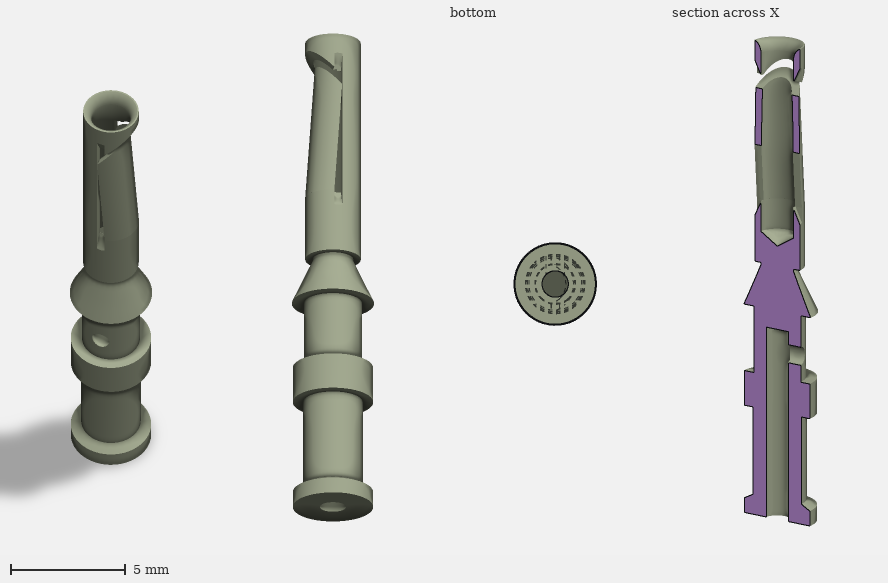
import cadquery as cq
import math

total_height = 21.65
flange_edge_z = 0.7
flange_top_z = 0.93
collar_bottom_z = 4.9
collar_top_z = 6.5
barb_bottom_z = 9.5
barb_top_z = 11.45
sleeve_bottom_z = 11.56

flange_diameter = 3.5
collar_diameter = 3.5
barrel_diameter = 2.6
upper_barrel_diameter = 2.53
barb_diameter = 3.6
neck_diameter = 1.78
sleeve_diameter = 2.42

socket_diameter = 1.7
socket_bottom_z = 13.0
drill_point_angle = 118.0
mouth_diameter = 2.3
mouth_depth = 0.52

wire_bore_diameter = 1.15
wire_bore_depth = 8.65
inspection_diameter = 0.8
inspection_z = 7.66

slot_half = 0.18
slot_bottom_z = 13.66
slot_top_z = 20.76
slot_end_ramp = 0.71

tongue_root_z = slot_bottom_z + slot_end_ramp
tongue_bend = 4.0
gap_angle = 45.0
gap_edge_z = 21.13
tongue_tip_z = 20.42

sleeve_radius = sleeve_diameter / 2
socket_radius = socket_diameter / 2
cutter_overrun = 0.22


def slope(angle):
    """Rise per unit run of a line at this angle in degrees."""
    return math.tan(math.radians(angle))


def make_body():
    """Turned outside of the contact, from the flange up to the sleeve."""
    barrel_radius = barrel_diameter / 2
    profile = [
        (0, 0),
        (flange_diameter / 2, 0),
        (flange_diameter / 2, flange_edge_z),
        (barrel_radius, flange_top_z),
        (barrel_radius, collar_bottom_z),
        (collar_diameter / 2, collar_bottom_z),
        (collar_diameter / 2, collar_top_z),
        (upper_barrel_diameter / 2, collar_top_z),
        (upper_barrel_diameter / 2, barb_bottom_z),
        (barb_diameter / 2, barb_bottom_z),
        (neck_diameter / 2, barb_top_z),
        (neck_diameter / 2, sleeve_bottom_z),
        (sleeve_radius, sleeve_bottom_z),
        (sleeve_radius, total_height),
        (0, total_height),
    ]
    return cq.Workplane("XZ").polyline(profile).close().revolve(360, (0, 0), (0, 1))


def make_socket():
    """Cutter for the socket bore: drill point, straight wall and rounded mouth."""
    point_depth = socket_radius / slope(drill_point_angle / 2)
    flare = mouth_diameter / 2 - socket_radius
    mouth_radius = (mouth_depth**2 + flare**2) / (2 * flare)
    return (
        cq.Workplane("XZ")
        .moveTo(0, socket_bottom_z - point_depth)
        .lineTo(socket_radius, socket_bottom_z)
        .lineTo(socket_radius, total_height - mouth_depth)
        .radiusArc((mouth_diameter / 2, total_height), mouth_radius)
        .lineTo(0, total_height)
        .close()
        .revolve(360, (0, 0), (0, 1))
    )


def make_slots():
    """Cutter for both slots; its ends run inwards as ramps through the walls."""
    ramp_slope = slot_end_ramp / (sleeve_radius - socket_radius)
    outer_y = sleeve_radius + cutter_overrun
    bottom_outer_z = slot_bottom_z - cutter_overrun * ramp_slope
    top_outer_z = slot_top_z + cutter_overrun * ramp_slope
    bottom_inner_z = slot_bottom_z + slot_end_ramp
    top_inner_z = slot_top_z - slot_end_ramp
    outline = [
        (-outer_y, bottom_outer_z),
        (-socket_radius, bottom_inner_z),
        (socket_radius, bottom_inner_z),
        (outer_y, bottom_outer_z),
        (outer_y, top_outer_z),
        (socket_radius, top_inner_z),
        (-socket_radius, top_inner_z),
        (-outer_y, top_outer_z),
    ]
    return cq.Workplane("YZ").polyline(outline).close().extrude(slot_half, both=True)


def make_window():
    """Cutter for the +X wall above the tongue root, up to the slanted gap edge."""
    outer_x = sleeve_radius + cutter_overrun
    gap_inner_z = gap_edge_z - (sleeve_radius - slot_half) * slope(gap_angle)
    outline = [
        (0, tongue_root_z),
        (outer_x, tongue_root_z),
        (outer_x, gap_edge_z + cutter_overrun * slope(gap_angle)),
        (slot_half, gap_inner_z),
        (0, gap_inner_z),
    ]
    return cq.Workplane("XZ").polyline(outline).close().extrude(sleeve_diameter, both=True)


def make_tongue():
    """Part of a tube tilted about the tongue root, trimmed to a slanted tip."""
    lean = slope(tongue_bend)
    tip_slope = slope(gap_angle + tongue_bend)
    root_overlap = 0.22
    tube = (
        cq.Workplane("XY", origin=(0, 0, -root_overlap))
        .circle(sleeve_radius)
        .circle(socket_radius)
        .extrude(total_height - tongue_root_z + root_overlap)
        .rotate((0, 0, 0), (0, 1, 0), -tongue_bend)
        .translate((0, 0, tongue_root_z))
    )
    tip_rise = tongue_tip_z - tongue_root_z
    tip_x = sleeve_radius - tip_rise * lean
    corner_rise = (tip_rise - (tip_x - slot_half) * tip_slope) / (1 + lean * tip_slope)
    outer_x = sleeve_radius + cutter_overrun
    outline = [
        (slot_half, tongue_root_z),
        (outer_x, tongue_root_z),
        (outer_x, tongue_tip_z + (outer_x - tip_x) * tip_slope),
        (slot_half - corner_rise * lean, tongue_root_z + corner_rise),
    ]
    trim = cq.Workplane("XZ").polyline(outline).close().extrude(sleeve_diameter, both=True)
    return tube.intersect(trim)


wire_bore = cq.Workplane("XY").circle(wire_bore_diameter / 2).extrude(wire_bore_depth)
inspection_hole = (
    cq.Workplane("XZ")
    .center(0, inspection_z)
    .circle(inspection_diameter / 2)
    .extrude(barrel_diameter)
)

result = make_body().cut(make_socket()).cut(wire_bore).cut(inspection_hole)
result = result.cut(make_slots()).cut(make_window()).union(make_tongue())